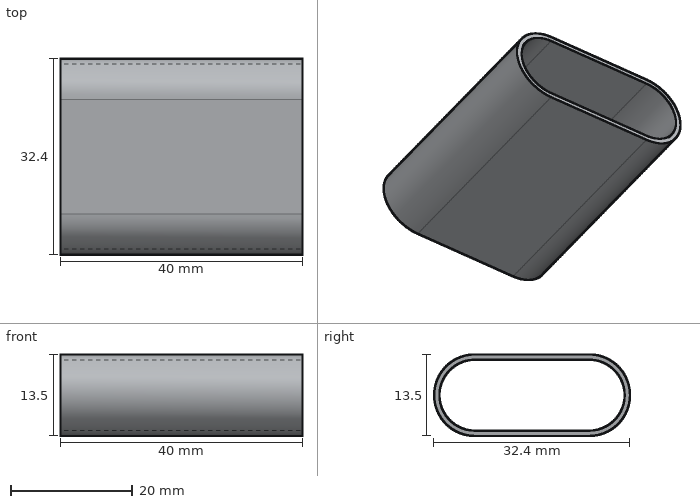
import cadquery as cq

length = 40.0
width = 32.4
height = 13.5
wall = 0.9


def oval_bar(bar_width, bar_height):
    """Solid bar along X with a flat-sided oval section, centred on the origin."""
    return (
        cq.Workplane("YZ")
        .slot2D(bar_width, bar_height)
        .extrude(length / 2, both=True)
    )


outer = oval_bar(width, height)
bore = oval_bar(width - 2 * wall, height - 2 * wall)

result = outer.cut(bore)